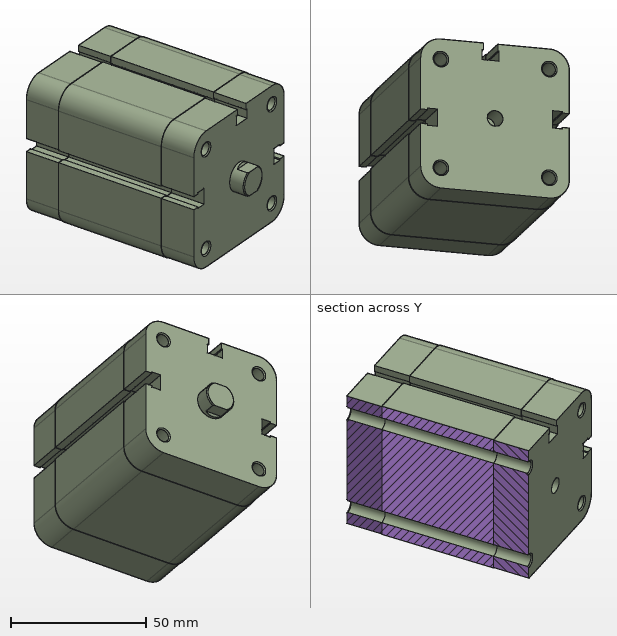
import cadquery as cq

overall_length = 82.5
tube_width = 58.0
corner_radius = 8.0
cap_inset = 0.2
cap_length = 14.7
tube_length = 46.6

slot_offset = 1.7
slot_mouth_width = 5.1
slot_inner_width = 6.3
slot_lip_depth = 3.05
slot_depth = 6.5
slot_angles = (-90, 0, 90)

bolt_spacing = 42.0
bolt_hole_diameter = 5.0
bolt_chamfer = 0.5
port_diameter = 6.0
port_depth = 10.0

rod_diameter = 12.0
rod_chamfer = 0.4
flat_width = 10.0
flat_start = 1.6
flat_run_out = 0.5

front_cap_start = cap_length + tube_length
rod_start = front_cap_start + cap_length
rod_length = overall_length - rod_start


def section_plane(x):
    """Plane across the axis at x: local x is +Y, local y is +Z and the normal is +X."""
    return cq.Workplane("YZ", origin=(x, 0, 0))


def t_slot(x, length, inset, angle):
    """Cutter for one T-slot, grown by the inset on every side and turned by an angle about the axis."""
    top = tube_width / 2
    floor = top - slot_depth - inset
    lip_underside = top - slot_lip_depth + inset
    mouth = (
        section_plane(x)
        .center(slot_offset, (top + floor) / 2)
        .rect(slot_mouth_width + 2 * inset, top - floor)
        .extrude(length)
    )
    pocket = (
        section_plane(x)
        .center(slot_offset, (lip_underside + floor) / 2)
        .rect(slot_inner_width + 2 * inset, lip_underside - floor)
        .extrude(length)
    )
    return mouth.union(pocket).rotate((0, 0, 0), (1, 0, 0), angle)


def profile_block(x, length, inset):
    """Rounded square block with three T-slots and four bolt holes along its length."""
    width = tube_width - 2 * inset
    block = (
        section_plane(x)
        .rect(width, width)
        .extrude(length)
        .edges("|X")
        .fillet(corner_radius - inset)
    )
    for angle in slot_angles:
        block = block.cut(t_slot(x, length, inset, angle))
    bolt_holes = (
        section_plane(x)
        .rect(bolt_spacing, bolt_spacing, forConstruction=True)
        .vertices()
        .circle(bolt_hole_diameter / 2)
        .extrude(length)
    )
    return block.cut(bolt_holes)


def make_cap(x, outer_face):
    """End cap whose bolt holes are chamfered on its outer face."""
    cap = profile_block(x, cap_length, cap_inset)
    hole_rims = cap.faces(outer_face).edges(cq.selectors.RadiusNthSelector(0))
    return hole_rims.chamfer(bolt_chamfer)


def make_rear_cap():
    """Rear cap with a blind hole on the axis."""
    port = section_plane(0).circle(port_diameter / 2).extrude(port_depth)
    return make_cap(0, "<X").cut(port)


def make_rod():
    """Round rod end with a chamfered tip and two wrench flats with sloped feet."""
    radius = rod_diameter / 2
    rod = section_plane(rod_start).circle(radius).extrude(rod_length)
    rod = rod.faces(">X").chamfer(rod_chamfer)

    slope_foot = rod_start + flat_start
    slope_top = slope_foot - flat_run_out
    flat = (
        cq.Workplane("XZ")
        .moveTo(slope_foot, flat_width / 2)
        .lineTo(overall_length, flat_width / 2)
        .lineTo(overall_length, radius)
        .lineTo(slope_top, radius)
        .close()
        .extrude(radius, both=True)
    )
    return rod.cut(flat).cut(flat.mirror("XY"))


tube = profile_block(cap_length, tube_length, inset=0)
rear_cap = make_rear_cap()
front_cap = make_cap(front_cap_start, ">X")
rod = make_rod()

result = cq.Compound.makeCompound([tube.val(), rear_cap.val(), front_cap.val(), rod.val()])